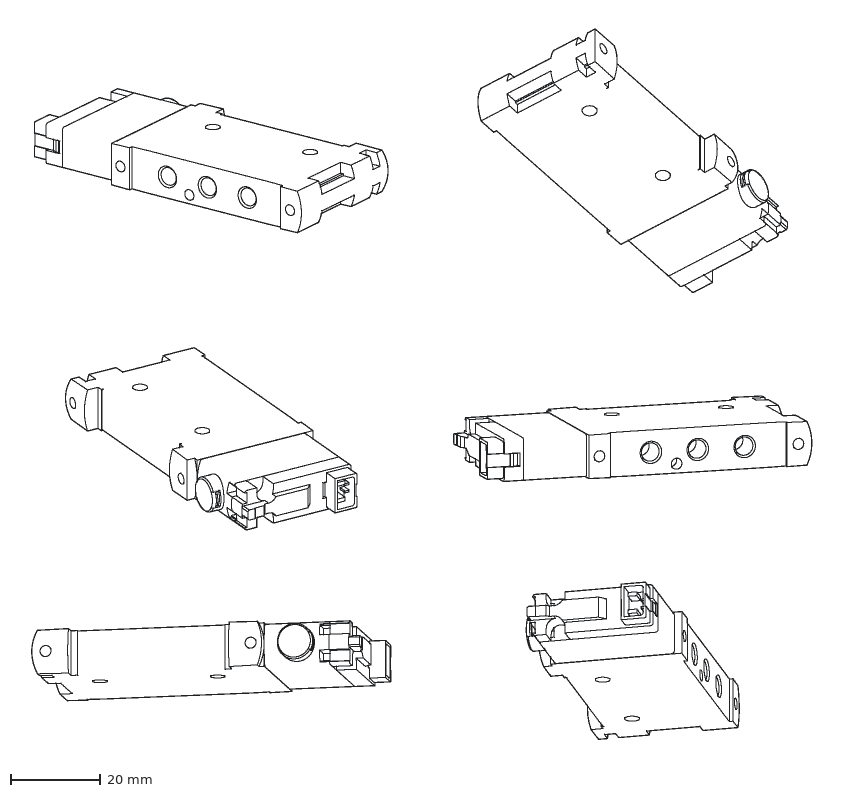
import cadquery as cq


length = 75.85
body_half = 10.25 / 2
block_half = 9.9 / 2
body_bottom = 0.8
body_top = 29.3
body_edge_round = 0.4
shoulder_top = 29.5
ear_top = 33.1
ear_crown = 0.8
nose_depth = 1.1

coil_end = 23.1
left_block_end = 32.3
left_foot_end = 28.2
left_ear_end = 30.7
right_block_start = 66.15
right_foot_start = 70.0
right_ear_start = 67.6

ear_hole_diameter = 2.5
ear_hole_xs = (25.6, 72.7)
mount_hole_diameter = 3.3
mount_hole_xs = (35.65, 62.65)
mount_hole_y = 21.5

port_middle_x = 49.15
port_pitch = 11.1
port_diameter = 4.2
port_mouth_diameter = 5.1
port_mouth_depth = 0.45
port_depth = 7.6
drill_tip_ratio = 0.3
vent_diameter = 2.5
vent_x = 44.15
vent_z = -2.95
vent_depth = 3.8

notch_start = 71.8
notch_step = 0.75
notch_ledge_z = 2.4
notch_floor_z = 2.0
notch_spans = ((8.1, 20.5), (27.6, 30.2))

cap_start = 3.7
cap_end = 8.3
coil_half = 9.8 / 2
coil_bottom = 1.75
coil_top = 30.35
coil_crown = 0.9
coil_edge_round = 0.7

lever_half = 2.5 / 2
paddle_start = 2.1
paddle_half = 4.8 / 2
paddle_bottom = 14.0
paddle_bevel = 1.5
lever_start = 1.2
lever_step = 0.2
lever_step_y = 28.4
lever_tip_y = 25.95
lever_bevel_y = 25.3
lever_bottom = 24.35
lever_chamfer = 0.4

channel_bottom = 22.15
channel_top = 26.5

latch_slot_floor = 29.05
latch_slot_z = (1.75, 4.3)
latch_slot_end = 10.5
latch_pocket_bottom = 25.8
latch_pocket_top_z = 4.0

connector_bottom = 2.4
connector_top = 8.2
connector_half = 4.25
connector_round = 0.4
connector_wall = 0.7
socket_depth = 4.55
pin_y = (4.85, 6.9)
pin_z = (1.6, 2.5)
pin_length = 3.4
rib_z = 0.9
rib_width = 0.45
rib_height = 1.05
rib_length = 2.3
tongue_half = 1.5
tongue_y = 2.65
tongue_end = 5.4
tongue_slot_end = 7.4
tongue_slot_floor = 3.3
catch_y = 2.35
catch_ramp = (6.1, 6.9)
catch_ramp_y = 2.05
key_top = 9.1
key_half = 3.9 / 2
key_depth = 0.75

knob_x = 15.6
knob_top = 33.45
knob_radius = 8.1 / 2
knob_top_radius = 2.65
knob_bevel_radius = 3.7
knob_bevel_y = 33.15
knob_side_top = 32.8
grip_half = 2.0
grip_radius = 3.4
groove_radius = 4.55
grip_bottom = 31.1
grip_ridge = (31.9, 32.3)


def box(x0, x1, y0, y1, z0, z1):
    """A box between two corners."""
    return cq.Workplane("XY").box(x1 - x0, y1 - y0, z1 - z0, centered=False).translate((x0, y0, z0))


def crowned_prism(x0, x1, y0, y1, half, crown):
    """A bar along X whose +Y side is an arch, crown high and y1 at its peak."""
    return (
        cq.Workplane("YZ", origin=(x0, 0, 0))
        .moveTo(y0, -half)
        .lineTo(y1 - crown, -half)
        .threePointArc((y1, 0), (y1 - crown, half))
        .lineTo(y0, half)
        .close()
        .extrude(x1 - x0)
    )


def nose(end_x, inward, y0, y1):
    """A cylinder along Y whose side is the arched end face at end_x."""
    radius = (block_half**2 + nose_depth**2) / (2 * nose_depth)
    return cq.Workplane("XZ", origin=(end_x + inward * radius, y0, 0)).circle(radius).extrude(y0 - y1)


def drafted_slab(inner_x, end_x):
    """A slab drafted from the body thickness towards end_x."""
    corners = [(inner_x, -body_half), (end_x, -block_half), (end_x, block_half), (inner_x, body_half)]
    return cq.Workplane("XZ").polyline(corners).close().extrude(-ear_top)


def end_block(inner_x, foot_x, ear_x, end_x):
    """An end block: foot and ear outline, cut to its drafted shape and arched top."""
    outline = [
        (end_x, 0), (foot_x, 0), (foot_x, body_bottom), (inner_x, body_bottom),
        (inner_x, shoulder_top), (ear_x, shoulder_top), (ear_x, ear_top), (end_x, ear_top),
    ]
    slab = cq.Workplane("XY").workplane(offset=-body_half).polyline(outline).close().extrude(2 * body_half)
    arch = crowned_prism(0, length, 0, ear_top, body_half, ear_crown)
    return slab.intersect(drafted_slab(inner_x, end_x)).intersect(arch)


def turned(profile):
    """A solid of revolution about the Y axis."""
    return cq.Workplane("XY").polyline(profile).close().revolve(360, (0, 0, 0), (0, 1, 0))


def drill(x, z, diameter, depth):
    """A blind drilled hole entering the -Y face, with its conical point."""
    radius = diameter / 2
    tip = depth + drill_tip_ratio * diameter
    return turned([(0, 0), (radius, 0), (radius, depth), (0, tip)]).translate((x, body_bottom, z))


def port_mouth(x):
    """The conical mouth of a port."""
    profile = [
        (0, 0), (port_mouth_diameter / 2, 0),
        (port_diameter / 2, port_mouth_depth), (0, port_mouth_depth),
    ]
    return turned(profile).translate((x, body_bottom, 0))


def flat_bore(x):
    """A flat-bottomed port."""
    return (
        cq.Workplane("XZ", origin=(x, body_bottom, 0))
        .circle(port_diameter / 2)
        .extrude(-port_depth)
    )


def cover_notch(y0, y1):
    """A stepped notch through the +X end, for a snap-on cover."""
    step_x = notch_start + notch_step
    profile = [
        (notch_start, body_half), (notch_start, notch_ledge_z), (step_x, notch_ledge_z),
        (step_x, notch_floor_z), (length, notch_floor_z), (length, body_half),
    ]
    return cq.Workplane("XZ", origin=(0, y0, 0)).polyline(profile).close().extrude(y0 - y1)


def make_blank():
    """The ported body with its two end blocks, before any holes."""
    body = (
        box(left_block_end, right_block_start, body_bottom, body_top, -body_half, body_half)
        .edges("|X and >Y").fillet(body_edge_round)
    )
    left_block = end_block(left_block_end, left_foot_end, left_ear_end, coil_end)
    coil_side = box(coil_end, left_block_end, 0, coil_top, -body_half, body_half)
    left_block = left_block.intersect(nose(coil_end, 1, coil_top, ear_top).union(coil_side))
    right_block = end_block(right_block_start, right_foot_start, right_ear_start, length)
    right_block = right_block.intersect(nose(length, -1, 0, ear_top))
    return body.union(left_block).union(right_block)


def cut_through_holes(valve):
    """The ear holes along Y and the mounting holes along Z."""
    for x in ear_hole_xs:
        valve = valve.cut(
            cq.Workplane("XZ", origin=(x, 0, 0)).circle(ear_hole_diameter / 2).extrude(-ear_top)
        )
    for x in mount_hole_xs:
        valve = valve.cut(
            cq.Workplane("XY", origin=(x, mount_hole_y, -body_half))
            .circle(mount_hole_diameter / 2).extrude(2 * body_half)
        )
    return valve


def cut_ports(valve):
    """A drilled middle port, a flat-bottomed port either side of it, and the small vent."""
    valve = valve.cut(drill(port_middle_x, 0, port_diameter, port_depth)).cut(port_mouth(port_middle_x))
    for side in (-1, 1):
        x = port_middle_x + side * port_pitch
        valve = valve.cut(flat_bore(x)).cut(port_mouth(x))
    return valve.cut(drill(vent_x, vent_z, vent_diameter, vent_depth))


def make_valve():
    valve = cut_ports(cut_through_holes(make_blank()))
    for y0, y1 in notch_spans:
        valve = cut_both_sides(valve, cover_notch(y0, y1))
    coil = cut_both_sides(housing_bar(cap_end, coil_end), latch_slot())
    return valve.union(coil).union(make_knob())


def make_lever():
    """The paddle on the cap face and the narrow lever above it."""
    paddle = (
        cq.Workplane("XY").workplane(offset=-paddle_half)
        .polyline([
            (cap_end, paddle_bottom - paddle_bevel), (cap_start, paddle_bottom - paddle_bevel),
            (paddle_start, paddle_bottom), (paddle_start, lever_bottom), (cap_end, lever_bottom),
        ])
        .close().extrude(2 * paddle_half)
    )
    step_x = lever_start + lever_step
    lever = (
        cq.Workplane("XY").workplane(offset=-lever_half)
        .polyline([
            (cap_start, lever_bottom), (paddle_start, lever_bottom), (paddle_start, lever_bevel_y),
            (step_x, lever_tip_y), (step_x, lever_step_y), (lever_start, lever_step_y),
            (lever_start, coil_top), (cap_start, coil_top),
        ])
        .close().extrude(2 * lever_half)
        .edges("|X and >Y").chamfer(lever_chamfer)
    )
    return paddle.union(lever)


def channel():
    """The round-bottomed channel along X on the +Z side of the lever."""
    radius = (channel_top - channel_bottom) / 2
    return (
        cq.Workplane("YZ")
        .moveTo(channel_bottom, coil_half)
        .lineTo(channel_bottom, lever_half + radius)
        .threePointArc((channel_bottom + radius, lever_half), (channel_top, lever_half + radius))
        .lineTo(channel_top, coil_half)
        .close()
        .extrude(cap_end)
    )


def latch_slot():
    """The +Z latch slot in the top of cap and coil, with the pocket below it in the coil face."""
    z0, z1 = latch_slot_z
    slot = box(cap_start, latch_slot_end, latch_slot_floor, coil_top, z0, z1)
    pocket = box(
        cap_end, latch_slot_end, latch_pocket_bottom, latch_slot_floor, z0, latch_pocket_top_z
    )
    return slot.union(pocket)


def housing_bar(x0, x1):
    """A length of the section shared by coil housing and cap."""
    bar = crowned_prism(x0, x1, coil_bottom, coil_top, coil_half, coil_crown)
    return bar.edges("|X").fillet(coil_edge_round)


def cut_both_sides(solid, cutter):
    """Cut a +Z feature and its mirror image in the mid plane."""
    return solid.cut(cutter).cut(cutter.mirror("XY"))


def add_connector(cap):
    """The socket with its pins and ribs, and the tongue with its ramped catch in a slot of the cap."""
    shell = (
        box(0, cap_start, connector_bottom, connector_top, -connector_half, connector_half)
        .edges("|X and <Y").fillet(connector_round)
    )
    inner_bottom = connector_bottom + connector_wall
    inner_half = connector_half - connector_wall
    socket = (
        box(0, socket_depth, inner_bottom, connector_top - connector_wall, -inner_half, inner_half)
        .edges("|X and <Y").fillet(connector_wall)
    )
    groove = box(0, cap_start, connector_bottom, tongue_y, -tongue_half, tongue_half)
    slot = box(cap_start, tongue_slot_end, coil_bottom, tongue_slot_floor, -tongue_half, tongue_half)
    ramp_start, ramp_end = catch_ramp
    tongue = (
        cq.Workplane("XY").workplane(offset=-tongue_half)
        .polyline([
            (cap_start, tongue_slot_floor), (cap_start, tongue_y), (tongue_end, tongue_y),
            (tongue_end, catch_y), (ramp_start, catch_y), (ramp_end, catch_ramp_y),
            (ramp_end, tongue_slot_floor),
        ])
        .close().extrude(2 * tongue_half)
    )
    key = box(cap_start, cap_start + key_depth, connector_top, key_top, -key_half, key_half)

    cap = cap.cut(slot).cut(key).union(shell.cut(groove)).union(tongue).cut(socket)
    for side in (-1, 1):
        z0, z1 = sorted(side * z for z in pin_z)
        cap = cap.union(box(socket_depth - pin_length, socket_depth, *pin_y, z0, z1))
        rib_middle = side * rib_z
        cap = cap.union(box(
            socket_depth - rib_length, socket_depth, inner_bottom, inner_bottom + rib_height,
            rib_middle - rib_width / 2, rib_middle + rib_width / 2,
        ))
    return cap


def make_knob():
    """The manual override knob, a turned button with a ridged grip on its +X and -X sides."""
    base_y = coil_top - coil_crown
    profile = [
        (0, base_y), (knob_radius, base_y), (knob_radius, knob_side_top),
        (knob_bevel_radius, knob_bevel_y), (knob_top_radius, knob_top), (0, knob_top),
    ]
    knob = turned(profile)
    lower_grip = [
        (grip_radius, grip_bottom), (groove_radius, grip_bottom),
        (groove_radius, grip_ridge[0]), (grip_radius, grip_ridge[0]),
    ]
    upper_grip = [
        (knob_radius, grip_ridge[1]), (groove_radius, grip_ridge[1]),
        (groove_radius, knob_bevel_y), (knob_bevel_radius, knob_bevel_y),
    ]
    grip_sides = box(-groove_radius, groove_radius, grip_bottom, knob_top, -grip_half, grip_half)
    for grip_profile in (lower_grip, upper_grip):
        knob = knob.cut(turned(grip_profile).intersect(grip_sides))
    return knob.translate((knob_x, 0, 0))


def make_cap():
    cap = housing_bar(cap_start, cap_end).union(make_lever())
    cap = cut_both_sides(cap, channel())
    cap = cut_both_sides(cap, latch_slot())
    return add_connector(cap)


valve = make_valve()
cap = make_cap()

result = cq.Compound.makeCompound([valve.val(), cap.val()])